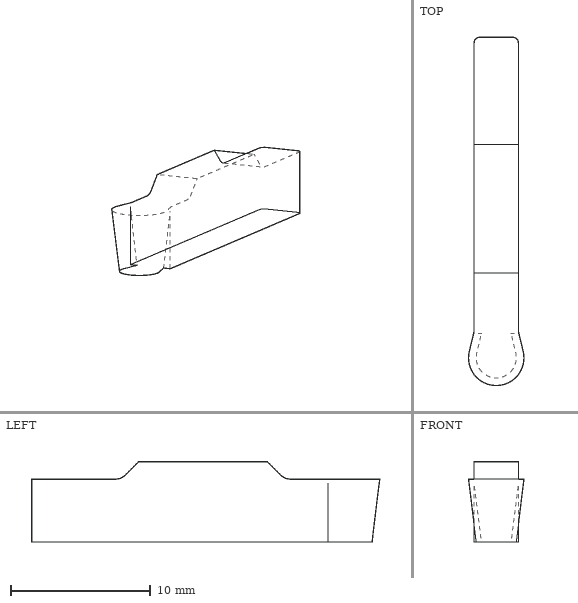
import cadquery as cq
import math

length = 25.05
total_height = 5.79
body_height = 4.54
body_width = 3.2

pad_front = 8.1
pad_back = 17.35
ramp_angle = 45.0
ramp_foot_radius = 1.0

head_radius = 2.0
clearance_angle = 7.0
neck_angle = 13.5

body_front = 3.74
head_root = 5.0

rear_corner_radius = 0.4

half_width = body_width / 2


def make_body():
    """Straight shank with the raised pad, drawn as a side profile and extruded across X."""
    ramp_run = (total_height - body_height) / math.tan(math.radians(ramp_angle))
    ramp_front_foot = pad_front - ramp_run
    ramp_back_foot = pad_back + ramp_run
    profile = [
        (body_front, 0),
        (length, 0),
        (length, body_height),
        (ramp_back_foot, body_height),
        (pad_back, total_height),
        (pad_front, total_height),
        (ramp_front_foot, body_height),
        (body_front, body_height),
    ]
    body = cq.Workplane("YZ").polyline(profile).close().extrude(half_width, both=True)
    for foot in (ramp_front_foot, ramp_back_foot):
        foot_edge = cq.selectors.NearestToPointSelector((0, foot, body_height))
        body = body.edges(foot_edge).fillet(ramp_foot_radius)
    return body.edges("|Z and >Y").fillet(rear_corner_radius)


def make_head():
    """Round nose running tangentially into straight neck flanks that narrow to the shank width."""
    angle = math.radians(neck_angle)
    tangent_x = head_radius * math.cos(angle)
    tangent_y = head_radius * (1 + math.sin(angle))
    corner_y = tangent_y + (tangent_x - half_width) / math.tan(angle)

    return (
        cq.Workplane("XY", origin=(0, 0, body_height))
        .moveTo(tangent_x, tangent_y)
        .lineTo(half_width, corner_y)
        .lineTo(half_width, head_root)
        .lineTo(-half_width, head_root)
        .lineTo(-half_width, corner_y)
        .lineTo(-tangent_x, tangent_y)
        .threePointArc((0, 0), (tangent_x, tangent_y))
        .close()
        .extrude(-body_height, taper=clearance_angle)
    )


result = make_body().union(make_head()).clean()